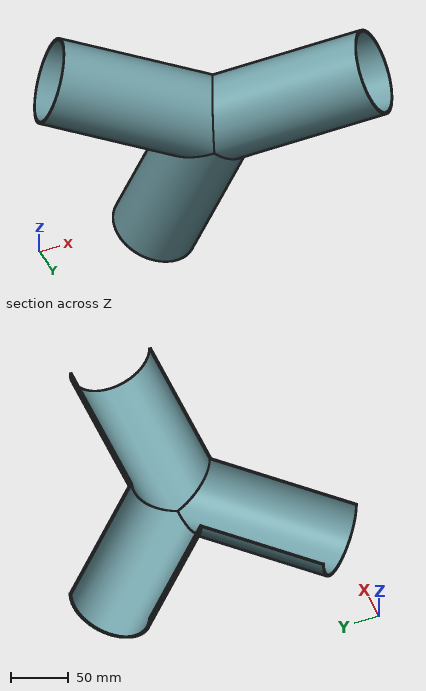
import cadquery as cq
import math

outer_diameter = 76.2
bore_diameter = 72.9
leg_length = 152.4

run_angle = 0.0
branch_angle = 135.0

run_mitre_angle = (run_angle + branch_angle) / 2
branch_mitre_angle = 180.0

wedge_reach = 2 * leg_length
wedge_height = 2 * outer_diameter
back_length = outer_diameter

def polar_point(radius, angle):
    return (radius * math.cos(math.radians(angle)), radius * math.sin(math.radians(angle)))

def mitre_wedge(start_angle, axis_angle, end_angle):
    """Space between two vertical mitre planes that meet on the Z axis."""
    corners = [polar_point(wedge_reach, angle) for angle in (start_angle, axis_angle, end_angle)]
    return cq.Workplane("XY").polyline([(0, 0)] + corners).close().extrude(wedge_height / 2, both=True)

def mitred_tube(start_angle, axis_angle, end_angle):
    """Tube along axis_angle, its inner end cut by the mitre planes on both sides."""
    stock = (
        cq.Workplane("YZ", origin=(-back_length, 0, 0))
        .circle(outer_diameter / 2)
        .circle(bore_diameter / 2)
        .extrude(back_length + leg_length)
        .rotate((0, 0, 0), (0, 0, 1), axis_angle)
    )
    return stock.intersect(mitre_wedge(start_angle, axis_angle, end_angle)).solids()

run = mitred_tube(-run_mitre_angle, run_angle, run_mitre_angle)

branches = [
    mitred_tube(side * run_mitre_angle, side * branch_angle, side * branch_mitre_angle)
    for side in (1, -1)
]

result = cq.Compound.makeCompound([run.val(), *[branch.val() for branch in branches]])